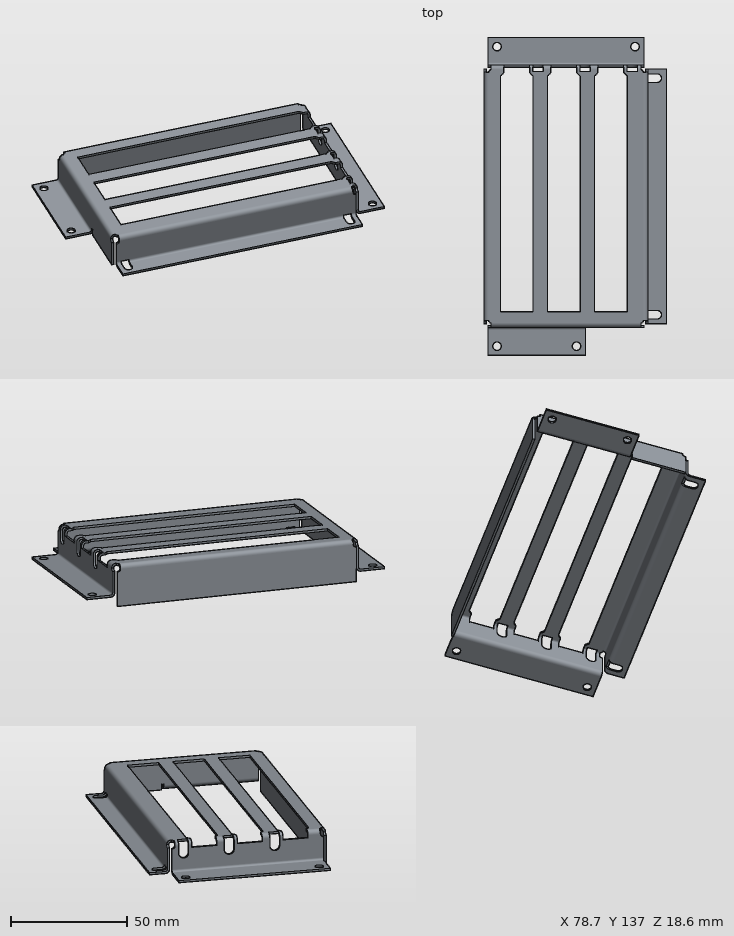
import cadquery as cq
thickness = 1.0
inner_radius = thickness
outer_radius = inner_radius + thickness

frame_width = 70.7
frame_length = 113.2
height = 18.6
flange_bottom = 4.0
end_flange_reach = 11.9
side_flange_reach = 8.0
wall_setback = 1.6

relief_radius = 1.4
relief_offset = 0.2

slot_pitch = 20.3
window_count = 3
window_width = 14.0
window_front_margin = 7.0
neck_width = 11.1
neck_length = 3.3
neck_depth = 3.2
finger_slot_width = 4.4
finger_slot_plate_length = 2.7
finger_slot_depth = 7.7
first_window_x = -21.2

hole_diameter = 3.5
hole_margin = 4.0
front_flange_width = 42.2
flange_notch_width = 1.0
flange_notch_height = 2.6
side_slot_margin = 4.0
side_slot_tip_margin = 2.2

half_width = frame_width / 2
half_length = frame_length / 2
end_wall_width = frame_width - 2 * wall_setback
side_wall_length = frame_length - 2 * wall_setback
plate_half_width = half_width - outer_radius
plate_half_length = half_length - outer_radius
bend_bottom = height - outer_radius
front_flange_left = -end_wall_width / 2
front_flange_right = front_flange_left + front_flange_width
window_centres = [first_window_x + i * slot_pitch for i in range(window_count)]


def block(x_range, y_range, z_range):
    """Box given by its limits along each axis."""
    size = [high - low for low, high in (x_range, y_range, z_range)]
    corner = (x_range[0], y_range[0], z_range[0])
    return cq.Workplane("XY").box(*size, centered=False).translate(corner)


def wall_section(foot, flange_reach=0):
    """Section of a wall that bends down from the plate, with +X outward from the bend line."""
    inner_face = outer_radius - thickness
    section = cq.Workplane("XZ").moveTo(0, height)
    section = section.radiusArc((outer_radius, bend_bottom), outer_radius)
    if flange_reach:
        tip = outer_radius + flange_reach
        flange_top = foot + thickness
        flange_start = outer_radius + inner_radius
        section = section.lineTo(outer_radius, flange_top + inner_radius)
        section = section.radiusArc((flange_start, flange_top), -inner_radius)
        section = section.lineTo(tip, flange_top).lineTo(tip, foot).lineTo(flange_start, foot)
        section = section.radiusArc((inner_face, foot + outer_radius), outer_radius)
    else:
        section = section.lineTo(outer_radius, foot).lineTo(inner_face, foot)
    section = section.lineTo(inner_face, bend_bottom)
    return section.radiusArc((0, height - thickness), -inner_radius).close()


def wall(section, length, outward_angle, middle):
    """Wall of the given length, turned outward and placed by the middle of its bend line."""
    strip = section.extrude(length / 2, both=True)
    return strip.rotate((0, 0, 0), (0, 0, 1), outward_angle).translate((*middle, 0))


def corner_relief():
    """Relief at the +X +Y corner, where two bends would meet."""
    end_x = end_wall_width / 2
    end_y = side_wall_length / 2
    above_bend = (bend_bottom, height)
    end_bend = block((end_x - relief_radius, half_width), (plate_half_length, half_length), above_bend)
    side_bend = block((plate_half_width, half_width), (end_y - relief_radius, half_length), above_bend)
    round_height = bend_bottom + relief_offset
    in_plate = cq.Workplane("XY", origin=(end_x + relief_offset, end_y + relief_offset, bend_bottom))
    in_end_wall = cq.Workplane("XZ", origin=(end_x, half_length, round_height))
    in_side_wall = cq.Workplane("YZ", origin=(plate_half_width, end_y, round_height))
    relief = end_bend.union(side_bend)
    for start in (in_plate, in_end_wall, in_side_wall):
        relief = relief.union(start.circle(relief_radius).extrude(outer_radius))
    return relief


def window(x):
    """Long window that narrows to a neck and runs out over the back bend."""
    wide = window_width / 2
    narrow = neck_width / 2
    front = window_front_margin - half_length
    neck_start = half_length - neck_length
    taper_start = neck_start - (wide - narrow)
    right_side = [(wide, front), (wide, taper_start), (narrow, neck_start), (narrow, half_length)]
    left_side = [(-across, along) for across, along in reversed(right_side)]
    base = cq.Workplane("XY", origin=(x, 0, height - neck_depth))
    return base.polyline(right_side + left_side).close().extrude(neck_depth)


def finger_slot(x):
    """Round-bottomed slot in the back wall that opens through the bend into the plate."""
    radius = finger_slot_width / 2
    arc_height = height - finger_slot_depth + radius
    front = half_length - finger_slot_plate_length
    opening = block((x - radius, x + radius), (front, half_length), (arc_height, height))
    round_bottom = cq.Workplane("XZ", origin=(x, half_length, arc_height)).circle(radius)
    return opening.union(round_bottom.extrude(finger_slot_plate_length))


plate = block(
    (-plate_half_width, plate_half_width),
    (-plate_half_length, plate_half_length),
    (height - thickness, height),
)
left_wall = wall(wall_section(0), side_wall_length, 180, (-plate_half_width, 0))
right_wall = wall(wall_section(flange_bottom, side_flange_reach), side_wall_length, 0, (plate_half_width, 0))
back_wall = wall(wall_section(flange_bottom, end_flange_reach), end_wall_width, 90, (0, plate_half_length))

front_flange_middle = (front_flange_left + front_flange_right) / 2
front_flanged_wall = wall(
    wall_section(flange_bottom, end_flange_reach),
    front_flange_width,
    -90,
    (front_flange_middle, -plate_half_length),
)
plain_width = end_wall_width - front_flange_width
front_plain_wall = wall(
    wall_section(flange_bottom),
    plain_width,
    -90,
    (front_flange_right + plain_width / 2, -plate_half_length),
)
result = plate
for piece in (left_wall, right_wall, back_wall, front_flanged_wall, front_plain_wall):
    result = result.union(piece)

relief = corner_relief()
relief = relief.union(relief.mirror("YZ"))
result = result.cut(relief.union(relief.mirror("XZ")))

for centre in window_centres:
    result = result.cut(window(centre))
    result = result.cut(finger_slot(centre + (window_width + finger_slot_width) / 2))

result = result.cut(
    block(
        (front_flange_right, front_flange_right + flange_notch_width),
        (-half_length, -half_length + thickness),
        (flange_bottom, flange_bottom + flange_notch_height),
    )
)

hole_y = half_length + end_flange_reach - hole_margin
outer_hole_x = front_flange_left + hole_margin
holes = [
    (outer_hole_x, hole_y),
    (-outer_hole_x, hole_y),
    (outer_hole_x, -hole_y),
    (front_flange_right - hole_margin, -hole_y),
]
drill = cq.Workplane("XY", origin=(0, 0, flange_bottom)).pushPoints(holes).circle(hole_diameter / 2)
result = result.cut(drill.extrude(thickness))

slot_tip_centre = half_width + side_flange_reach - side_slot_tip_margin - hole_diameter / 2
slot_y = side_wall_length / 2 - side_slot_margin
slot_top = flange_bottom + outer_radius
for y in (-slot_y, slot_y):
    straight = block(
        (half_width - thickness, slot_tip_centre),
        (y - hole_diameter / 2, y + hole_diameter / 2),
        (flange_bottom, slot_top),
    )
    tip = cq.Workplane("XY", origin=(slot_tip_centre, y, flange_bottom)).circle(hole_diameter / 2)
    result = result.cut(straight.union(tip.extrude(outer_radius)))